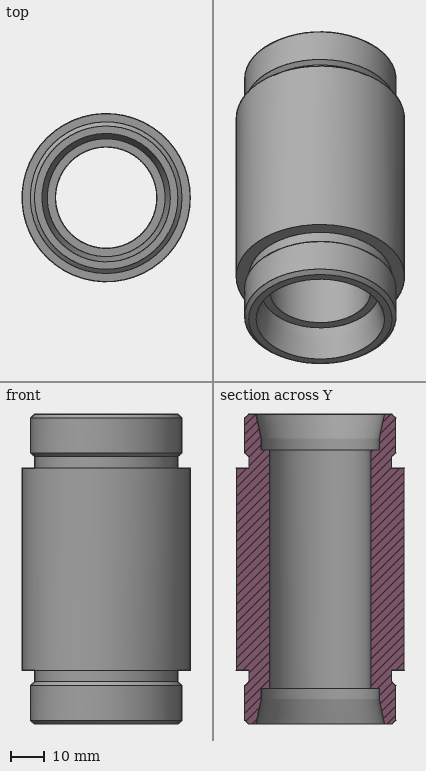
import cadquery as cq

length = 92.0
body_diameter = 50.0
body_length = 60.0
bore_diameter = 30.0

collar_diameter = 45.0
groove_diameter = 42.5
groove_width = 3.4
chamfer_height = 1.1

socket_mouth_diameter = 38.1
counterbore_diameter = 35.0
taper_depth = 7.4
socket_depth = 10.6

body_radius = body_diameter / 2
bore_radius = bore_diameter / 2
collar_radius = collar_diameter / 2
groove_radius = groove_diameter / 2
mouth_radius = socket_mouth_diameter / 2
counterbore_radius = counterbore_diameter / 2
end_height = length / 2
body_end = body_length / 2
groove_end = body_end + groove_width
taper_end = end_height - taper_depth
seat_height = end_height - socket_depth

upper_section = [
    (body_radius, body_end),
    (groove_radius, body_end),
    (groove_radius, groove_end),
    (collar_radius, groove_end + chamfer_height),
    (collar_radius, end_height - chamfer_height),
    (groove_radius, end_height),
    (mouth_radius, end_height),
    (counterbore_radius, taper_end),
    (counterbore_radius, seat_height),
    (bore_radius, seat_height),
]

lower_section = [(radius, -height) for radius, height in reversed(upper_section)]

wall_section = cq.Workplane("XZ").polyline(upper_section + lower_section).close()
result = wall_section.revolve(360, (0, 0, 0), (0, 1, 0))